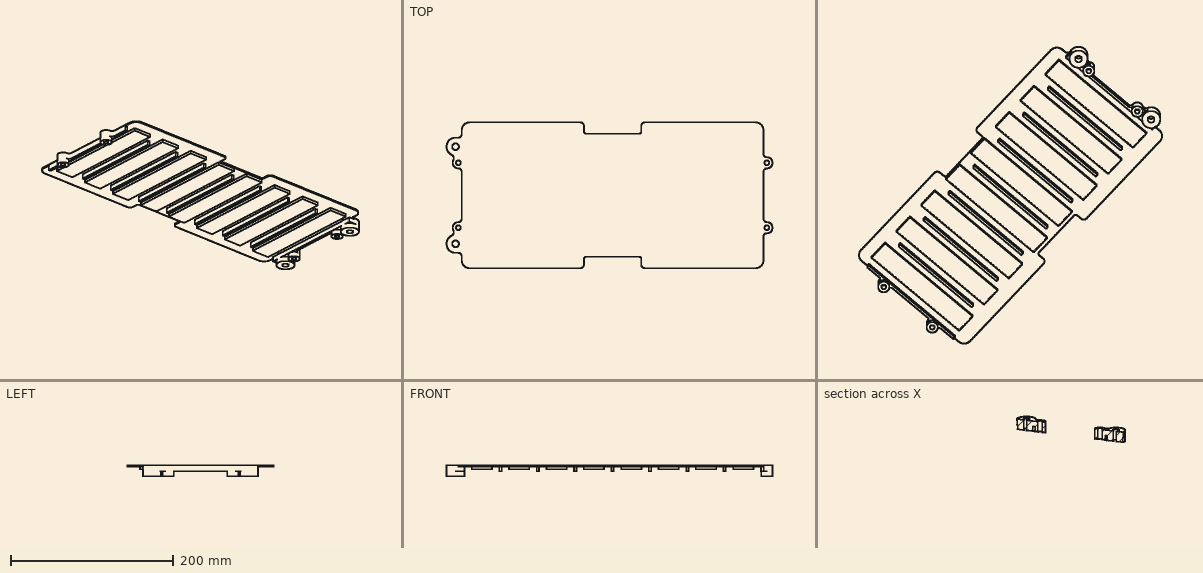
import cadquery as cq
import math

total_length = 401.5
total_height = 13.5

plate_length = 371.8
plate_width = 180.0
plate_thickness = 1.5
plate_corner_radius = 10.0

notch_length = 70.3
notch_depth = 14.0
notch_outer_radius = 5.0
notch_inner_radius = 2.5

large_lug_diameter = 22.5
large_hole_diameter = 8.0
large_lug_spacing = 119.5
small_lug_diameter = 14.0
small_hole_diameter = 5.5
small_lug_spacing = 80.0
small_lug_overhang = 4.0
neck_radius = 5.0
edge_blend_radius = 4.0

wall_depth = 7.5
wall_thickness = 3.2
pad_count = 8
pad_row_length = 322.0
pad_size_x = 25.3
pad_size_y = 144.5
pad_end_y = 74.5
pad_depth = 5.2
rib_width = 3.2
rib_length = 120.5

large_lug_y = large_lug_spacing / 2
small_lug_y = small_lug_spacing / 2
large_radius = large_lug_diameter / 2
small_radius = small_lug_diameter / 2
right_lug_x = total_length / 2 - small_radius
plate_right = right_lug_x - small_lug_overhang
plate_left = plate_right - plate_length
plate_center_x = (plate_left + plate_right) / 2
left_lug_x = plate_left - small_lug_overhang
large_lug_x = -total_length / 2 + large_radius
large_lug_edge_y = large_lug_y + large_radius


def top_box(x_min, x_max, y_min, y_max, depth):
    """Box hanging from the top face of the plate (z = total_height)."""
    return cq.Workplane("XY").box(x_max - x_min, y_max - y_min, depth, centered=False).translate(
        (x_min, y_min, total_height - depth)
    )


def top_cylinder(x, y, diameter, depth):
    """Upright cylinder hanging from the top face of the plate."""
    base = cq.Workplane("XY", origin=(x, y, total_height - depth))
    return base.circle(diameter / 2).extrude(depth)


def hollow_blend(corners, center, radius, depth):
    """Polygon hanging from the top face, with a round hollow cut around center."""
    base = cq.Workplane("XY", origin=(0, 0, total_height - depth))
    filler = base.polyline(corners).close().extrude(depth)
    return filler.cut(top_cylinder(*center, 2 * radius, depth))


def round_corners(plate, x_positions, y, radius):
    """Round the upright plate edges at the given X positions and at +y and -y."""
    for x in x_positions:
        for corner_y in (y, -y):
            near_corner = cq.selectors.BoxSelector(
                (x - radius, corner_y - radius, 0),
                (x + radius, corner_y + radius, total_height),
            )
            plate = plate.edges("|Z").edges(near_corner).fillet(radius)
    return plate


def make_plate():
    half_width = plate_width / 2
    notch_floor = half_width - notch_depth
    notch_left = plate_center_x - notch_length / 2
    notch_right = plate_center_x + notch_length / 2
    plate = top_box(plate_left, plate_right, -half_width, half_width, plate_thickness)
    notch = top_box(notch_left, notch_right, notch_floor, half_width, plate_thickness)
    plate = plate.cut(notch).cut(notch.mirror("XZ"))
    plate = round_corners(plate, (plate_left, plate_right), half_width, plate_corner_radius)
    plate = round_corners(plate, (notch_left, notch_right), half_width, notch_outer_radius)
    return round_corners(plate, (notch_left, notch_right), notch_floor, notch_inner_radius)


def edge_blend(lug_x, edge_x, side):
    """Hollow from a small lug to the plate edge; side is +1 or -1 along Y."""
    outward = math.copysign(1, lug_x - edge_x)
    rise = math.sqrt(
        (small_radius + edge_blend_radius) ** 2 - (edge_blend_radius - small_lug_overhang) ** 2
    )
    center = (edge_x + outward * edge_blend_radius, small_lug_y + side * rise)
    inside_x = edge_x - outward * wall_thickness
    corners = [
        (lug_x, small_lug_y),
        center,
        (edge_x, center[1]),
        (inside_x, center[1]),
        (inside_x, small_lug_y),
    ]
    return hollow_blend(corners, center, edge_blend_radius, wall_depth)


def neck_blend():
    """Web and hollow tangent to the large lug and the left small lug."""
    dx = left_lug_x - large_lug_x
    dy = small_lug_y - large_lug_y
    spacing = math.hypot(dx, dy)
    to_large = large_radius + neck_radius
    to_small = small_radius + neck_radius
    along = (to_large**2 - to_small**2 + spacing**2) / (2 * spacing)
    across = math.sqrt(to_large**2 - along**2)
    center = (
        large_lug_x + (along * dx + across * dy) / spacing,
        large_lug_y + (along * dy - across * dx) / spacing,
    )
    corners = [
        (large_lug_x, large_lug_y),
        center,
        (left_lug_x, small_lug_y),
        (plate_left + wall_thickness, small_lug_y),
        (plate_left + wall_thickness, large_lug_y),
    ]
    return hollow_blend(corners, center, neck_radius, wall_depth)


def large_lug_shoulder():
    """Flat-sided web from the large lug to the wall, blended to the plate edge."""
    web = top_box(large_lug_x, plate_left + wall_thickness, large_lug_y, large_lug_edge_y, wall_depth)
    blend_x = plate_left - edge_blend_radius
    blend_y = large_lug_edge_y + edge_blend_radius
    corners = [
        (blend_x, large_lug_edge_y),
        (plate_left, large_lug_edge_y),
        (plate_left, blend_y),
        (blend_x, blend_y),
    ]
    return web.union(hollow_blend(corners, (blend_x, blend_y), edge_blend_radius, plate_thickness))


def make_lugs():
    """Lugs and blends on the +Y half, mirrored to the -Y half."""
    half = top_cylinder(large_lug_x, large_lug_y, large_lug_diameter, total_height)
    half = half.union(large_lug_shoulder()).union(neck_blend())
    half = half.union(edge_blend(left_lug_x, plate_left, -1))
    for side in (1, -1):
        half = half.union(edge_blend(right_lug_x, plate_right, side))
    for x in (left_lug_x, right_lug_x):
        half = half.union(top_cylinder(x, small_lug_y, small_lug_diameter, total_height))
    return half.union(half.mirror("XZ"))


def make_walls():
    """Walls under the two short edges of the plate."""
    left = top_box(
        plate_left, plate_left + wall_thickness, -large_lug_edge_y, large_lug_edge_y, wall_depth
    )
    return left.union(left.mirror("YZ", (plate_center_x, 0, 0)))


def make_pads_and_ribs():
    """Row of flat pads with a narrow rib midway between neighbours."""
    pitch = pad_row_length / (pad_count - 1)
    first_x = plate_center_x - pad_row_length / 2
    pad_start_y = pad_end_y - pad_size_y
    row = cq.Workplane("XY")
    for i in range(pad_count):
        pad_left = first_x + i * pitch - pad_size_x / 2
        row = row.add(top_box(pad_left, pad_left + pad_size_x, pad_start_y, pad_end_y, pad_depth))
    for i in range(pad_count - 1):
        rib_left = first_x + (i + 0.5) * pitch - rib_width / 2
        row = row.add(
            top_box(rib_left, rib_left + rib_width, -rib_length / 2, rib_length / 2, wall_depth)
        )
    return row.combine()


def make_holes():
    """Holes straight through every lug."""
    half = top_cylinder(large_lug_x, large_lug_y, large_hole_diameter, total_height)
    for x in (left_lug_x, right_lug_x):
        half = half.add(top_cylinder(x, small_lug_y, small_hole_diameter, total_height))
    half = half.combine()
    return half.union(half.mirror("XZ"))


result = make_plate().union(make_walls()).union(make_lugs()).union(make_pads_and_ribs())
result = result.cut(make_holes())